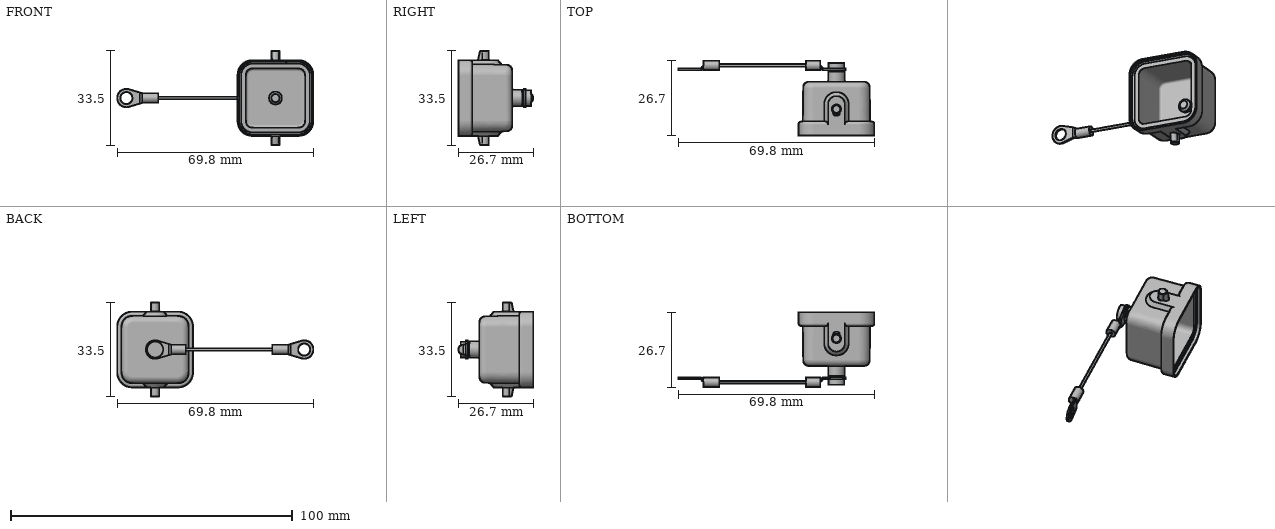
import cadquery as cq
import math


flange_half = 13.5
flange_depth = 5.0
flange_edge_radius = 1.0
corner_center = 8.1

hood_half = 12.05
hood_depth = 19.2
hood_draft = 0.6
hood_edge_radius = 2.2

recess_mouth_half = 12.87
recess_floor_half = 12.2
recess_wall_depth = 1.3
recess_depth = 1.6
cavity_half = 10.55
cavity_draft_start = flange_depth
cavity_depth = 17.9
cavity_edge_radius = 0.9

pad_center_y = 11.05
pad_radius = 3.0
pad_start_y = 3.0
pad_height = 2.0
pad_slope = 41.0

pin_tip_z = 16.75
pin_center_y = 9.4
pin_radius = 1.5
pin_chamfer = 0.15
pin_flare = 0.15
pin_root_z = 13.0
pin_ramp_radius = 1.25
pin_ramp_tip_y = 8.9
pin_ramp_root_y = 8.1

boss_radius = 2.95
boss_top_y = 22.7
boss_root_radius = 0.3
neck_radius = 2.15
head_radius = 2.85
head_top_y = 25.85
stud_radius = 2.3
stud_chamfer = 0.85
stud_height = 2.0

lug_thickness = 0.75
lug_bottom_y = 23.2
lug_top_y = lug_bottom_y + lug_thickness
lug_radius = 3.3
lug_hole_radius = 2.1
lug_tail_length = 4.8
lug_tail_half = 2.0
bend_rise = 0.5
ferrule_radius = 1.725
ferrule_start = 5.68
ferrule_y = lug_bottom_y + ferrule_radius
wire_radius = 0.5
cap_ferrule_length = 5.15
free_ferrule_length = 5.7
free_lug_x = -52.95


def rounded_square(half, start_y):
    """Rounded square in a plane facing +Y; the corners share one set of centers."""
    corner = half - corner_center
    outline = cq.Sketch().rect(2 * half, 2 * half).vertices().fillet(corner)
    return cq.Workplane("ZX", origin=(0, start_y, 0)).placeSketch(outline)


def disc(radius, start_y, end_y):
    return cq.Workplane("ZX", origin=(0, start_y, 0)).circle(radius).extrude(end_y - start_y)


def make_shell():
    flange = rounded_square(flange_half, 0).extrude(flange_depth)
    flange = flange.faces(">Y").edges().fillet(flange_edge_radius)
    hood = rounded_square(hood_half, 0).extrude(hood_depth, taper=hood_draft)
    hood = hood.faces(">Y").edges().fillet(hood_edge_radius)
    boss = disc(boss_radius, cavity_depth, boss_top_y)
    boss_root = cq.selectors.BoxSelector(
        (-boss_radius, hood_depth - boss_root_radius, -boss_radius),
        (boss_radius, hood_depth + boss_root_radius, boss_radius),
    )
    shell = flange.union(hood).union(boss)
    return shell.edges(boss_root).fillet(boss_root_radius)


def make_pad():
    """U-shaped pad on the +Z side whose flanks widen toward the hood."""
    return (
        cq.Workplane("XY", origin=(0, 0, flange_half))
        .moveTo(-pad_radius, pad_start_y)
        .lineTo(pad_radius, pad_start_y)
        .lineTo(pad_radius, pad_center_y)
        .threePointArc((0, pad_center_y + pad_radius), (-pad_radius, pad_center_y))
        .close()
        .extrude(-pad_height, taper=-pad_slope)
    )


def make_pin():
    """Round pin with a leaning ramp on the side facing the mouth."""
    length = pin_tip_z - pin_root_z
    pin = cq.Workplane("XY", origin=(0, pin_center_y, pin_root_z)).circle(pin_radius).extrude(length)
    pin = pin.faces(">Z").chamfer(pin_chamfer)
    ramp = (
        cq.Workplane("XY", origin=(0, pin_ramp_root_y, pin_root_z))
        .circle(pin_ramp_radius)
        .workplane(offset=length - pin_chamfer)
        .center(0, pin_ramp_tip_y - pin_ramp_root_y)
        .circle(pin_ramp_radius)
        .loft()
    )
    flare = (
        cq.Workplane("XY", origin=(0, pin_center_y, pin_root_z))
        .circle(pin_radius + pin_flare)
        .extrude(flange_half + pin_flare - pin_root_z)
    )
    flare = flare.faces(">Z").chamfer(pin_flare)
    return pin.union(ramp).union(flare)


def make_cavity():
    """Seal recess with a beveled inner corner, then a pocket that is straight at first and drafted beyond."""
    bevel_depth = recess_depth - recess_wall_depth
    bevel_taper = math.degrees(math.atan2(recess_mouth_half - recess_floor_half, bevel_depth))
    recess = rounded_square(recess_mouth_half, 0).extrude(recess_wall_depth)
    bevel = rounded_square(recess_mouth_half, recess_wall_depth).extrude(bevel_depth, taper=bevel_taper)
    throat = rounded_square(cavity_half, recess_wall_depth).extrude(cavity_draft_start - recess_wall_depth)
    pocket_depth = cavity_depth - cavity_draft_start
    pocket = rounded_square(cavity_half, cavity_draft_start).extrude(pocket_depth, taper=hood_draft)
    pocket = pocket.faces(">Y").edges().fillet(cavity_edge_radius)
    return recess.union(bevel).union(throat).union(pocket)


def make_screw():
    neck = disc(neck_radius, boss_top_y, lug_top_y)
    head = disc(head_radius, lug_top_y, head_top_y)
    stud = disc(stud_radius, cavity_depth - stud_height, cavity_depth)
    stud = stud.faces("<Y").chamfer(stud_chamfer)
    return neck.union(head).union(stud)


def make_lug(ferrule_length):
    """Ring lug centered on X = Z = 0 with its ferrule toward +X."""
    corner_distance = math.hypot(lug_tail_length, lug_tail_half)
    tangent_angle = math.atan2(lug_tail_half, lug_tail_length) + math.acos(lug_radius / corner_distance)
    tangent_x = lug_radius * math.cos(tangent_angle)
    tangent_z = lug_radius * math.sin(tangent_angle)
    plate = (
        cq.Workplane("ZX", origin=(0, lug_bottom_y, 0))
        .moveTo(-lug_tail_half, lug_tail_length)
        .lineTo(-tangent_z, tangent_x)
        .threePointArc((0, -lug_radius), (tangent_z, tangent_x))
        .lineTo(lug_tail_half, lug_tail_length)
        .close()
        .extrude(lug_thickness)
    )
    plate = plate.cut(disc(lug_hole_radius, lug_bottom_y, lug_top_y))
    bend_thickness = ferrule_y - lug_bottom_y - bend_rise
    bend_center_shift = bend_rise + (bend_thickness - lug_thickness) / 2
    bend = (
        cq.Workplane("YZ", origin=(lug_tail_length, (lug_bottom_y + lug_top_y) / 2, 0))
        .rect(lug_thickness, 2 * lug_tail_half)
        .workplane(offset=ferrule_start - lug_tail_length)
        .center(bend_center_shift, 0)
        .rect(bend_thickness, 2 * ferrule_radius)
        .loft(ruled=True)
    )
    ferrule = (
        cq.Workplane("YZ", origin=(ferrule_start, ferrule_y, 0))
        .circle(ferrule_radius)
        .extrude(ferrule_length)
    )
    return plate.union(bend).union(ferrule)


def make_tether():
    cap_lug = make_lug(cap_ferrule_length).mirror("YZ")
    free_lug = make_lug(free_ferrule_length).translate((free_lug_x, 0, 0))
    wire_start = free_lug_x + ferrule_start
    wire = (
        cq.Workplane("YZ", origin=(wire_start, ferrule_y, 0))
        .circle(wire_radius)
        .extrude(-ferrule_start - wire_start)
    )
    return cap_lug.union(free_lug).union(wire)


lock = make_pad().union(make_pin())
body = make_shell().union(lock).union(lock.mirror("XY"))
body = body.cut(make_cavity())
result = body.union(make_screw()).union(make_tether())